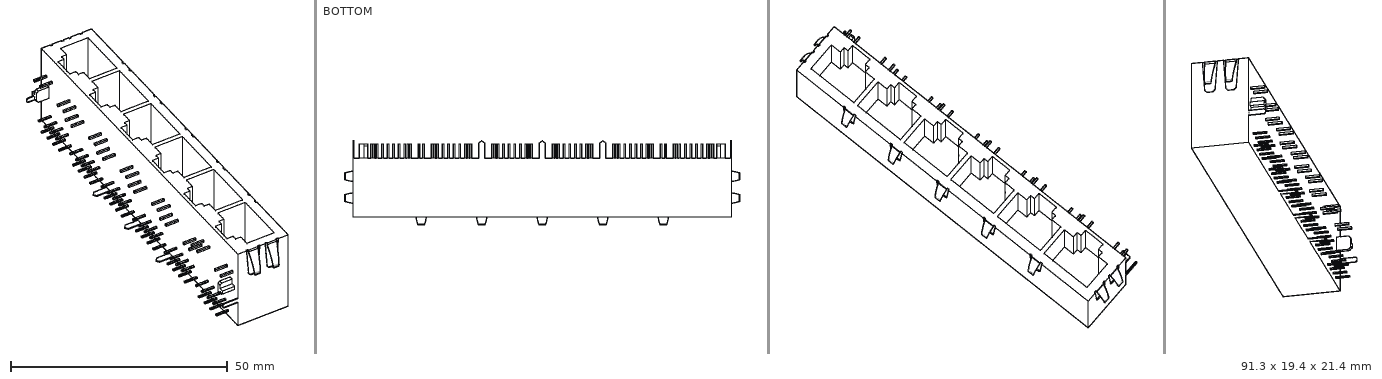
import cadquery as cq


overall_width = 91.3
housing_width = 87.4
housing_depth = 13.6
housing_height = 21.4
housing_half = housing_width / 2

port_count = 6
port_pitch = 14.0
port_depth = 13.7
port_width = 12.9
port_back_wall = 2.4
port_main_depth = 7.4
latch_width = 7.5
latch_depth = 1.4
key_width = 5.2
key_depth = 1.6
port_centers = [(i - (port_count - 1) / 2) * port_pitch for i in range(port_count)]
gap_centers = [(i - (port_count - 2) / 2) * port_pitch for i in range(port_count - 1)]

shield_thickness = 0.3
window_top_width = 3.6
window_bottom_width = 2.5
window_length = 7.7
window_chamfer = 0.55
finger_root_width = 2.6
finger_tip_width = 1.5
finger_length = 6.4
finger_root_height = 0.55
finger_lip = 0.5
finger_bulge_share = 0.62
side_finger_reach = (overall_width - housing_width) / 2
back_finger_reach = 1.8
side_finger_spacing = 5.0
lower_side_finger = 4.2

pin_length = 3.3
pin_embed = 0.5
contact_step = 1.3
contact_count = 8
contact_width = 0.5
contact_thickness = 0.3
contact_rear_row = 1.55
contact_front_row = 4.0

lamp_pin_size = 0.5
lamp_pin_inner = 3.9
lamp_pin_outer = 6.5
lamp_low_row = 12.7
lamp_high_row = 14.6
left_lamp_rows = [lamp_high_row] + [lamp_low_row] * 4 + [lamp_high_row]
right_lamp_rows = [lamp_high_row] * 4 + [lamp_low_row, lamp_high_row]

tab_length = 4.0
tab_width = 1.5
tab_tip = 0.55
side_tab_width = 1.2
side_tab_height = 7.5
tab_corner = 0.5

lock_center = 40.7
lock_width = 0.9
lock_height = 3.4
lock_middle = 10.5
lock_corner = 0.5
lock_rib_length = 1.1
lock_rib_height = 0.9
lock_rib_middle = 10.3


def box(x_size, y_size, z_size, x, y, z):
    """Box centred on x and z that rises from y in the +Y direction."""
    return cq.Workplane("XY").box(x_size, y_size, z_size, centered=(True, False, True)).translate((x, y, z))


def board_pin(x, z, x_size, z_size):
    return box(x_size, pin_length + pin_embed, z_size, x, -pin_length, z)


def port_cutter(x):
    y_top = housing_depth - port_back_wall
    y_main = y_top - port_main_depth
    y_latch = y_main - latch_depth
    y_key = y_latch - key_depth
    right_side = [
        (port_width / 2, y_top),
        (port_width / 2, y_main),
        (latch_width / 2, y_main),
        (latch_width / 2, y_latch),
        (key_width / 2, y_latch),
        (key_width / 2, y_key),
    ]
    left_side = [(-px, py) for px, py in reversed(right_side)]
    outline = cq.Workplane("XY").polyline(right_side + left_side).close()
    return outline.extrude(port_depth).translate((x, 0, housing_height - port_depth))


def window_cutter():
    top = window_top_width / 2
    bottom = window_bottom_width / 2
    outline = [
        (-top, 0),
        (-bottom, window_chamfer - window_length),
        (window_chamfer - bottom, -window_length),
        (bottom - window_chamfer, -window_length),
        (bottom, window_chamfer - window_length),
        (top, 0),
    ]
    return cq.Workplane("YZ").polyline(outline).close().extrude(-shield_thickness)


def finger(reach):
    """Strip that leaves the wall at the root, bows outward and ends in a straight lip."""
    bend_end = finger_lip - finger_length
    bulge = finger_bulge_share * reach
    bulge_height = (bend_end - finger_root_height) / 2
    inner_root = -2 * shield_thickness
    strip = (
        cq.Workplane("XZ")
        .moveTo(0, 0)
        .lineTo(0, -finger_root_height)
        .threePointArc((bulge, bulge_height), (reach, bend_end))
        .lineTo(reach, -finger_length)
        .lineTo(reach - shield_thickness, -finger_length)
        .lineTo(reach - shield_thickness, bend_end)
        .threePointArc((bulge - shield_thickness, bulge_height), (inner_root, -finger_root_height))
        .lineTo(inner_root, 0)
        .close()
        .extrude(finger_root_width / 2, both=True)
    )
    root_half = finger_root_width / 2
    tip_half = finger_tip_width / 2
    taper = (
        cq.Workplane("YZ")
        .polyline([(-root_half, 0), (-tip_half, -finger_length), (tip_half, -finger_length), (root_half, 0)])
        .close()
        .extrude(overall_width, both=True)
    )
    return strip.intersect(taper)


def on_wall(shape, angle, x, y):
    return shape.rotate((0, 0, 0), (0, 0, 1), angle).translate((x, y, housing_height))


def shield_tab(x):
    half = tab_width / 2
    outline = [
        (x - half, pin_embed),
        (x - half, tab_tip - tab_length),
        (x, -tab_length),
        (x + half, tab_tip - tab_length),
        (x + half, pin_embed),
    ]
    return cq.Workplane("XY").polyline(outline).close().extrude(shield_thickness)


def side_tab(side):
    x = side * (housing_half - shield_thickness / 2)
    tab = box(shield_thickness, tab_length + pin_embed, side_tab_width, x, -tab_length, side_tab_height)
    return tab.edges("|X and <Y").fillet(tab_corner)


def board_lock(side):
    length = pin_length + pin_embed
    plate = box(lock_width, length, lock_height, side * lock_center, -pin_length, lock_middle)
    plate = plate.edges("|X and <Y").chamfer(lock_corner)
    rib_x = side * (lock_center + (lock_width + lock_rib_length) / 2)
    rib = box(lock_rib_length, length, lock_rib_height, rib_x, -pin_length, lock_rib_middle)
    return plate.union(rib)


finger_places = [(90, x, housing_depth, back_finger_reach) for x in gap_centers]
for y in (lower_side_finger, lower_side_finger + side_finger_spacing):
    finger_places.append((0, housing_half, y, side_finger_reach))
    finger_places.append((180, -housing_half, y, side_finger_reach))

openings = [port_cutter(center) for center in port_centers]
attachments = []
for angle, x, y, reach in finger_places:
    openings.append(on_wall(window_cutter(), angle, x, y))
    attachments.append(on_wall(finger(reach), angle, x, y))

for center, left_row, right_row in zip(port_centers, left_lamp_rows, right_lamp_rows):
    for i in range(contact_count):
        x = center + (i - (contact_count - 1) / 2) * contact_step
        row = contact_rear_row if i % 2 else contact_front_row
        attachments.append(board_pin(x, row, contact_width, contact_thickness))
    for offset in (lamp_pin_inner, lamp_pin_outer):
        attachments.append(board_pin(center - offset, left_row, lamp_pin_size, lamp_pin_size))
        attachments.append(board_pin(center + offset, right_row, lamp_pin_size, lamp_pin_size))

attachments += [shield_tab(x) for x in gap_centers[1:-1]]
for side in (-1, 1):
    attachments.append(side_tab(side))
    attachments.append(board_lock(side))

housing = box(housing_width, housing_depth, housing_height, 0, 0, housing_height / 2).val()
opened_housing = housing.cut(*[opening.val() for opening in openings])
result = cq.Workplane(opened_housing.fuse(*[attachment.val() for attachment in attachments]).clean())